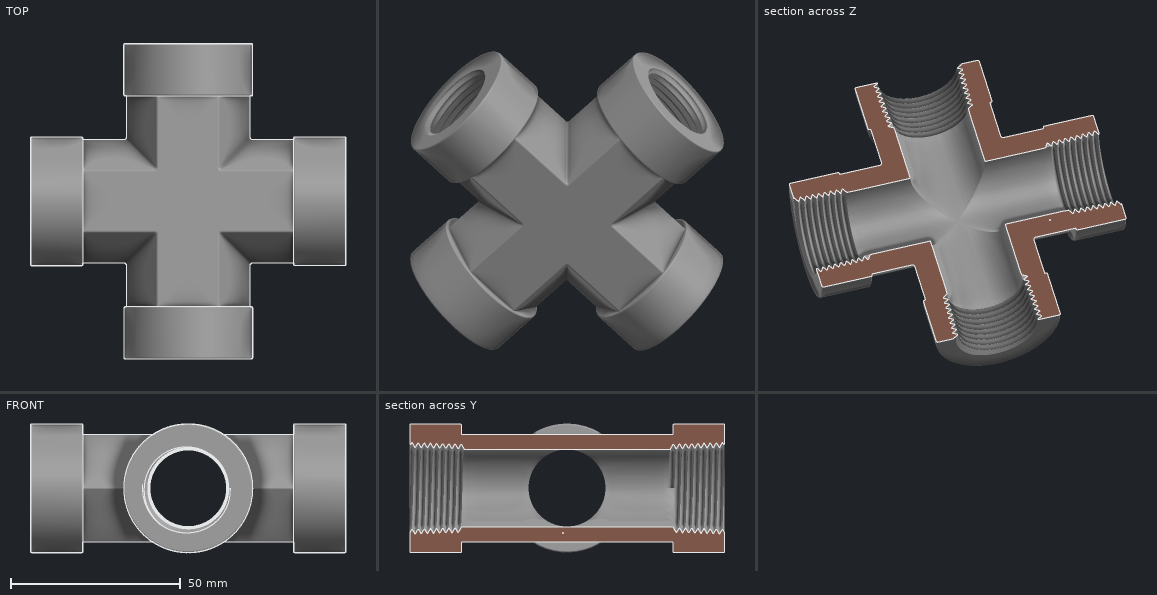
import cadquery as cq
import math

span = 93.0
arm_length = span / 2
arm_angles = (0, 90, 180, 270)

across_flats = 31.8
across_corners = across_flats / math.cos(math.radians(30))
collar_diameter = 38.0
collar_length = 15.4
body_edge_radius = 0.7
collar_edge_radius = 0.5

mouth_radius = 11.9
bore_radius = 11.3
taper_per_side = 1 / 32
taper_depth = (mouth_radius - bore_radius) / taper_per_side

thread_pitch = 1.81
thread_depth = thread_pitch * math.cos(math.radians(30))
thread_turns = 9
thread_start = 0.35 * thread_pitch
crest_width = 0.06
crest_height = 0.05
cutter_overlap = 0.7


def about_z(shape, angle):
    return shape.rotate((0, 0, 0), (0, 0, 1), angle)


def hexagonal_body():
    """Two crossed hexagonal bars with flats up and down and their edges rounded."""
    bar_reach = arm_length - collar_length / 2
    bar = cq.Workplane("YZ").polygon(6, across_corners).extrude(bar_reach, both=True)
    cross = bar.union(about_z(bar, 90))
    edge_limit = bar_reach - body_edge_radius
    long_edges = cq.selectors.BoxSelector((-edge_limit,) * 3, (edge_limit,) * 3)
    return cross.edges(long_edges).fillet(body_edge_radius)


def collar():
    """Round collar at the end of the +X arm."""
    return (
        cq.Workplane("YZ", origin=(arm_length - collar_length, 0, 0))
        .circle(collar_diameter / 2)
        .extrude(collar_length)
        .edges()
        .fillet(collar_edge_radius)
    )


def bore():
    """Hole from the centre of the part to the mouth of the +X arm."""
    return (
        cq.Workplane("XY")
        .lineTo(0, bore_radius)
        .lineTo(arm_length - taper_depth, bore_radius)
        .lineTo(arm_length, mouth_radius)
        .lineTo(arm_length, 0)
        .close()
        .revolve(360, (0, 0, 0), (1, 0, 0))
    )


def thread_groove():
    """Right-hand V groove wound into the bore of the +X arm, starting on the +Y side."""
    start_radius = mouth_radius + thread_start * taper_per_side
    inner_radius = start_radius - cutter_overlap
    flank_radius = start_radius + crest_height
    half_width = (thread_pitch - crest_width) / 2
    taper_angle = math.degrees(math.atan(taper_per_side))
    helix = cq.Wire.makeHelix(
        thread_pitch, thread_turns * thread_pitch, start_radius, angle=-taper_angle
    )
    groove = (
        cq.Workplane("XZ")
        .moveTo(inner_radius, -half_width)
        .lineTo(flank_radius, -half_width)
        .lineTo(start_radius + thread_depth, 0)
        .lineTo(flank_radius, half_width)
        .lineTo(inner_radius, half_width)
        .close()
        .sweep(cq.Workplane(helix), isFrenet=True)
    )
    return (
        about_z(groove, 90)
        .rotate((0, 0, 0), (0, 1, 0), -90)
        .translate((arm_length + thread_start, 0, 0))
    )


result = hexagonal_body()
for angle in arm_angles:
    result = result.union(about_z(collar(), angle))
for feature in (bore(), thread_groove()):
    for angle in arm_angles:
        result = result.cut(about_z(feature, angle))